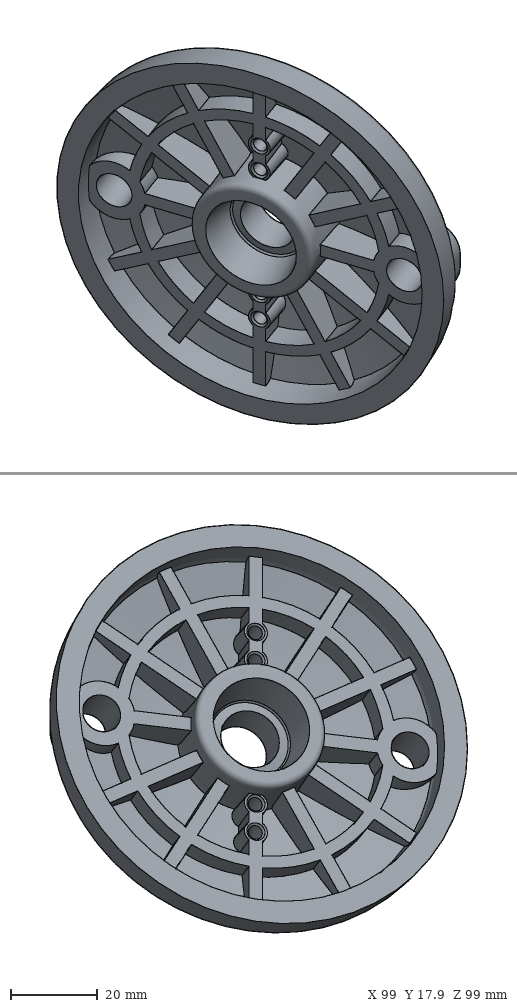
import cadquery as cq
import math


RIM_RADIUS = 49.5
WALL_TOP_RADIUS = 49.0
WALL_TOP_Y = 6.4
DOME_EDGE_RADIUS = 46.0
DOME_EDGE_Y = 9.6
DOME_MID_RADIUS = 33.2
DOME_MID_Y = 14.2
CROWN_RADIUS = 20.6
CROWN_Y = 16.7
CROWN_FLAT_RADIUS = 11.4
HEIGHT = 17.9
SHOULDER_BULGE = 0.8

MOUTH_RADIUS = 44.0
CAVITY_WALL_RADIUS = 43.7
CAVITY_WALL_Y = 6.1
CEILING_EDGE_RADIUS = 43.3
CEILING_EDGE_Y = 7.3
CEILING_APEX_Y = 14.9

RIB_FACE_Y = 4.8
RIB_WIDTH = 3.3
RIB_COUNT = 12
RING_OUTER_RADIUS = 33.9
RING_INNER_RADIUS = 30.9

HUB_FACE_Y = 0.4
HUB_FACE_RADIUS = 15.5
HUB_BARREL_RADIUS = 15.8
HUB_FOOT_START_Y = 12.4
HUB_FOOT_RADIUS = 16.3
HUB_FOOT_END_Y = 15.8
HUB_ROUND = 1.4
BORE_MOUTH_RADIUS = 11.6
BORE_END_RADIUS = 9.8
BORE_END_Y = 9.6
SEAT_RADIUS = 9.4
SEAT_FOOT_Y = 10.1
SEAT_TOP_Y = 9.3
OUTLET_START_RADIUS = 7.0
OUTLET_END_RADIUS = 6.5

MOUNT_X = 37.1
MOUNT_HOLE_RADIUS = 4.6
MOUNT_BOSS_RADIUS = 8.0
EAR_INNER_X = 15.8
EAR_END_X = 46.4
EAR_CORNER_RADIUS = 7.7
EAR_FLAT_HALF = 1.7
EAR_FLARE_DEGREES = 5.0
EAR_TOP_Y = 16.5
EAR_ROUND = 1.9

SCREW_POSITIONS = (17.9, 24.9)
SCREW_FACE_Y = 4.8
SCREW_FACE_RADIUS = 2.8
SCREW_FOOT_RADIUS = 3.2
SCREW_MOUTH_RADIUS = 2.2
SCREW_HOLE_RADIUS = 1.7
SCREW_SINK_DEPTH = 0.5
SCREW_HOLE_END_Y = 13.9
SCREW_TIP_RADIUS = 0.5


def spin(profile):
    """Revolve a closed (radius, Y) profile about the Y axis."""
    return profile.close().revolve(360, (0, 0, 0), (0, 1, 0))


def cylinder(radius, y_start, y_end, x=0, z=0):
    """Cylinder parallel to Y."""
    length = y_end - y_start
    base = cq.Vector(x, y_start, z)
    return cq.Workplane(cq.Solid.makeCylinder(radius, length, base, cq.Vector(0, 1, 0)))


def cone(start_radius, end_radius, y_start, y_end, x=0, z=0):
    """Tapered cylinder parallel to Y."""
    length = y_end - y_start
    base = cq.Vector(x, y_start, z)
    return cq.Workplane(cq.Solid.makeCone(start_radius, end_radius, length, base, cq.Vector(0, 1, 0)))


def outer_body():
    """Solid bounded by the rim wall, its rounded shoulder and the dome with its flat-topped crown."""
    shoulder_mid = (
        (WALL_TOP_RADIUS + DOME_EDGE_RADIUS) / 2 + SHOULDER_BULGE * math.cos(math.pi / 4),
        (WALL_TOP_Y + DOME_EDGE_Y) / 2 + SHOULDER_BULGE * math.sin(math.pi / 4),
    )
    profile = (
        cq.Workplane("XY")
        .lineTo(RIM_RADIUS, 0)
        .lineTo(WALL_TOP_RADIUS, WALL_TOP_Y)
        .threePointArc(shoulder_mid, (DOME_EDGE_RADIUS, DOME_EDGE_Y))
        .threePointArc((DOME_MID_RADIUS, DOME_MID_Y), (CROWN_RADIUS, CROWN_Y))
        .lineTo(CROWN_FLAT_RADIUS, HEIGHT)
        .lineTo(0, HEIGHT)
    )
    return spin(profile)


def cavity():
    """Hollow under the dome with a spherical ceiling."""
    ceiling_rise = CEILING_APEX_Y - CEILING_EDGE_Y
    sphere_radius = (CEILING_EDGE_RADIUS**2 + ceiling_rise**2) / (2 * ceiling_rise)
    mid_radius = CEILING_EDGE_RADIUS / 2
    mid_y = CEILING_APEX_Y - sphere_radius + math.sqrt(sphere_radius**2 - mid_radius**2)
    profile = (
        cq.Workplane("XY")
        .lineTo(MOUTH_RADIUS, 0)
        .lineTo(CAVITY_WALL_RADIUS, CAVITY_WALL_Y)
        .lineTo(CEILING_EDGE_RADIUS, CEILING_EDGE_Y)
        .threePointArc((mid_radius, mid_y), (0, CEILING_APEX_Y))
    )
    return spin(profile)


def ribs():
    """Twelve radial ribs and one ring, inside the cavity."""
    web = cylinder(RING_OUTER_RADIUS, RIB_FACE_Y, HEIGHT)
    web = web.cut(cylinder(RING_INNER_RADIUS, RIB_FACE_Y, HEIGHT))
    for index in range(RIB_COUNT // 2):
        bar = cq.Workplane("XY").box(2 * RIM_RADIUS, HEIGHT - RIB_FACE_Y, RIB_WIDTH)
        bar = bar.translate((0, (HEIGHT + RIB_FACE_Y) / 2, 0))
        web = web.union(bar.rotate((0, 0, 0), (0, 1, 0), index * 360 / RIB_COUNT))
    return web


def hub():
    """Tapered hub with a rounded front edge and a wider foot."""
    barrel = cone(HUB_FACE_RADIUS, HUB_BARREL_RADIUS, HUB_FACE_Y, HUB_FOOT_START_Y)
    barrel = barrel.faces("<Y").edges().fillet(HUB_ROUND)
    foot = cone(HUB_BARREL_RADIUS, HUB_FOOT_RADIUS, HUB_FOOT_START_Y, HUB_FOOT_END_Y)
    return barrel.union(foot)


def hub_bore():
    """Tapered bore, a raised conical seat around the outlet, and the outlet through the dome."""
    profile = (
        cq.Workplane("XY")
        .moveTo(0, HUB_FACE_Y)
        .lineTo(BORE_MOUTH_RADIUS, HUB_FACE_Y)
        .lineTo(BORE_END_RADIUS, BORE_END_Y)
        .lineTo(SEAT_RADIUS, SEAT_FOOT_Y)
        .lineTo(OUTLET_START_RADIUS, SEAT_TOP_Y)
        .lineTo(OUTLET_END_RADIUS, HEIGHT)
        .lineTo(0, HEIGHT)
    )
    return spin(profile)


def ear(side):
    """Raised pad on the dome: rounded outer corners, sides flaring toward the axis, rounded top edge."""
    flare = math.radians(EAR_FLARE_DEGREES)
    corner_x = EAR_END_X - EAR_CORNER_RADIUS
    side_x = corner_x + EAR_CORNER_RADIUS * math.sin(flare)
    side_z = EAR_FLAT_HALF + EAR_CORNER_RADIUS * math.cos(flare)
    mid_angle = math.pi / 4 + flare / 2
    mid_x = corner_x + EAR_CORNER_RADIUS * math.sin(mid_angle)
    mid_z = EAR_FLAT_HALF + EAR_CORNER_RADIUS * math.cos(mid_angle)
    inner_z = side_z + (side_x - EAR_INNER_X) * math.tan(flare)
    pad = (
        cq.Workplane("XZ")
        .moveTo(EAR_INNER_X, -inner_z)
        .lineTo(side_x, -side_z)
        .threePointArc((mid_x, -mid_z), (EAR_END_X, -EAR_FLAT_HALF))
        .lineTo(EAR_END_X, EAR_FLAT_HALF)
        .threePointArc((mid_x, mid_z), (side_x, side_z))
        .lineTo(EAR_INNER_X, inner_z)
        .close()
        .extrude(-EAR_TOP_Y)
    )
    pad = pad.faces(">Y").edges("not <X").fillet(EAR_ROUND)
    if side < 0:
        pad = pad.mirror("YZ")
    return pad


def screw_boss(z):
    return cone(SCREW_FACE_RADIUS, SCREW_FOOT_RADIUS, SCREW_FACE_Y, HEIGHT, z=z)


def screw_hole(z):
    """Blind pilot hole with a chamfered mouth and a conical end."""
    sink_y = SCREW_FACE_Y + SCREW_SINK_DEPTH
    mouth = cone(SCREW_MOUTH_RADIUS, SCREW_HOLE_RADIUS, SCREW_FACE_Y, sink_y, z=z)
    return mouth.union(cone(SCREW_HOLE_RADIUS, SCREW_TIP_RADIUS, sink_y, SCREW_HOLE_END_Y, z=z))


hollow = cavity()
fittings = ribs().union(hub())
for z in SCREW_POSITIONS:
    fittings = fittings.union(screw_boss(z)).union(screw_boss(-z))
for x in (MOUNT_X, -MOUNT_X):
    fittings = fittings.union(cylinder(MOUNT_BOSS_RADIUS, RIB_FACE_Y, HEIGHT, x=x))

result = outer_body().union(ear(1)).union(ear(-1))
result = result.cut(hollow).union(fittings.intersect(hollow))
result = result.cut(hub_bore())
for z in SCREW_POSITIONS:
    result = result.cut(screw_hole(z)).cut(screw_hole(-z))
for x in (MOUNT_X, -MOUNT_X):
    result = result.cut(cylinder(MOUNT_HOLE_RADIUS, 0, HEIGHT, x=x))